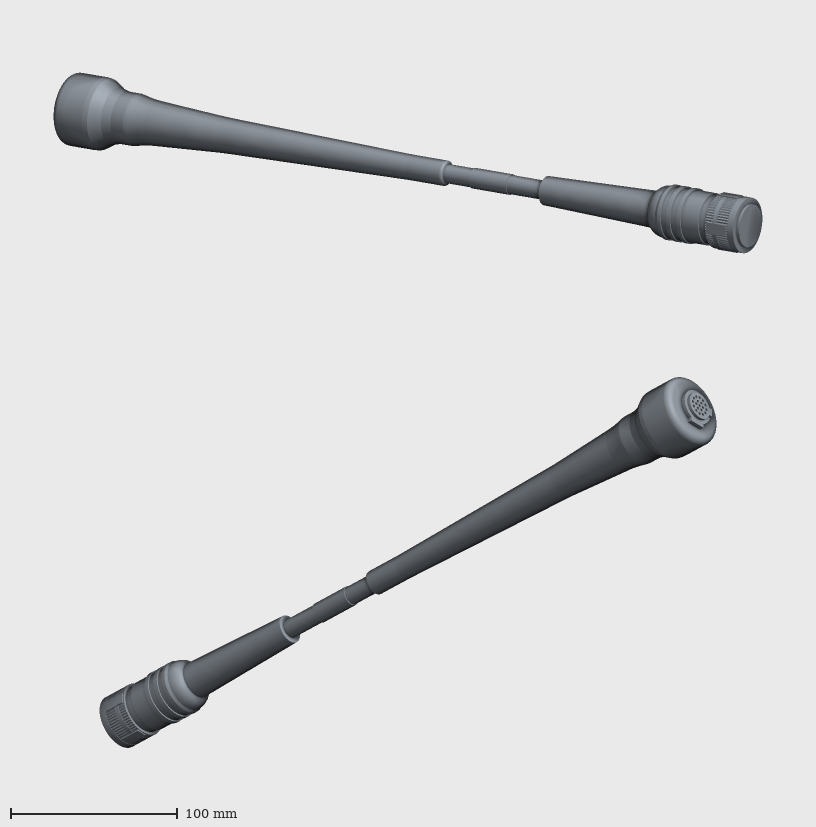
import cadquery as cq
import math


insert_face_x = 0
insert_diameter = 17.5
key_width = 5.5
key_reach = 10.5
shell_face_x = 2.0
shell_diameter = 22.0
tab_width = 10.5
tab_reach = 12.5
contact_hole_diameter = 2.0
contact_hole_depth = 3.0
contact_ring_spacing = 3.0
contact_ring_count = 2
contacts_per_ring_step = 6

head_face_x = 5.0
head_diameter = 44.5
head_front_round = 4.5
head_straight_end_x = 26.5
head_shoulder_x = 30.0
head_shoulder_diameter = 43.5
head_slope_end_x = 37.0
head_slope_end_diameter = 35.0
neck_start_x = 43.0
neck_diameter = 32.0
joint_x = 49.0

grip_neck_end_x = 51.5
grip_flare_start_x = 53.0
grip_flare_start_diameter = 31.5
grip_flare_middle_diameter = 29.0
grip_flare_end_x = 64.7
grip_flare_end_diameter = 27.5
grip_bend_x = 114.0
grip_bend_diameter = 21.7
cuff_start_x = 245.5
cuff_end_x = 270.5
cuff_diameter = 15.5
cuff_end_round = 2.0

cable_diameter = 11.5
sleeve_start_x = 289.0
sleeve_end_x = 315.0
sleeve_diameter = 12.5

relief_start_x = 339.5
relief_start_diameter = 18.0
relief_end_x = 417.5
relief_end_diameter = 22.5
dome_middle_x = 420.5
dome_middle_diameter = 29.0
barrel_start_x = 425.5
barrel_diameter = 32.0
barrel_end_x = 456.0
rib_diameter = 34.0
ramp_rib_top_x = 427.5
ramp_rib_end_x = 430.0
rib_start_x = 434.0
rib_width = 3.0
rib_pitch = 7.2
plain_rib_count = 2

plug_neck_diameter = 30.0
knurl_start_x = 461.5
knurl_end_x = 477.0
knurl_diameter = 34.0
knurl_root_diameter = 33.0
knurl_tooth_count = 64
plain_band_start_x = 466.2
plain_band_end_x = 469.0
pad_start_x = 462.5
pad_length = 13.5
pad_width = 7.0
pad_rise = 0.25
pad_count = 4
flange_end_x = 481.0
plug_end_x = 483
plug_end_diameter = 26.0


def rod(start_x, end_x, diameter):
    """Round rod on the X axis."""
    return cq.Workplane("YZ", origin=(start_x, 0, 0)).circle(diameter / 2).extrude(end_x - start_x)


def spin(outline):
    """Closed half outline in the XZ plane, turned about the X axis."""
    return outline.close().revolve(360, (0, 0, 0), (1, 0, 0))


def start_outline(x, diameter):
    """Half outline that starts on the axis and rises to the given diameter."""
    return cq.Workplane("XZ").moveTo(x, 0).lineTo(x, diameter / 2)


def rounding_inset(radius):
    """Distance from each side of a square corner to the middle of its rounding arc."""
    return radius * (1 - math.sqrt(0.5))


def make_head_collar():
    inset = rounding_inset(head_front_round)
    outline = (
        start_outline(head_face_x, head_diameter - 2 * head_front_round)
        .threePointArc(
            (head_face_x + inset, head_diameter / 2 - inset),
            (head_face_x + head_front_round, head_diameter / 2),
        )
        .lineTo(head_straight_end_x, head_diameter / 2)
        .tangentArcPoint((head_shoulder_x, head_shoulder_diameter / 2), relative=False)
        .lineTo(head_slope_end_x, head_slope_end_diameter / 2)
        .lineTo(neck_start_x, neck_diameter / 2)
        .lineTo(joint_x, neck_diameter / 2)
        .lineTo(joint_x, 0)
    )
    return spin(outline)


def make_shell():
    """Ring around the insert, with a tab on its -Z side."""
    depth = head_face_x - shell_face_x
    tab = cq.Workplane("XY").box(depth, tab_width, tab_reach, centered=(False, True, False))
    tab = tab.translate((shell_face_x, 0, -tab_reach))
    return rod(shell_face_x, head_face_x, shell_diameter).union(tab)


def make_insert():
    """Contact insert with a key on its -Y side."""
    depth = head_face_x - insert_face_x
    key = cq.Workplane("XY").box(depth, key_reach, key_width, centered=(False, False, True))
    key = key.translate((insert_face_x, -key_reach, 0))
    return rod(insert_face_x, head_face_x, insert_diameter).union(key)


def make_contact_holes():
    """One central hole inside rings of holes."""
    points = [(0, 0)]
    for ring in range(1, contact_ring_count + 1):
        count = contacts_per_ring_step * ring
        for i in range(count):
            angle = 2 * math.pi * i / count
            radius = contact_ring_spacing * ring
            points.append((radius * math.cos(angle), radius * math.sin(angle)))
    face = cq.Workplane("YZ", origin=(insert_face_x, 0, 0)).pushPoints(points)
    return face.circle(contact_hole_diameter / 2).extrude(contact_hole_depth)


def make_socket_head():
    head = make_head_collar().union(make_shell()).union(make_insert())
    return head.cut(make_contact_holes())


def make_grip():
    inset = rounding_inset(cuff_end_round)
    outline = (
        start_outline(joint_x, neck_diameter)
        .lineTo(grip_neck_end_x, neck_diameter / 2)
        .lineTo(grip_flare_start_x, grip_flare_start_diameter / 2)
        .threePointArc(
            ((grip_flare_start_x + grip_flare_end_x) / 2, grip_flare_middle_diameter / 2),
            (grip_flare_end_x, grip_flare_end_diameter / 2),
        )
        .lineTo(grip_bend_x, grip_bend_diameter / 2)
        .lineTo(cuff_start_x, cuff_diameter / 2)
        .lineTo(cuff_end_x - cuff_end_round, cuff_diameter / 2)
        .threePointArc(
            (cuff_end_x - inset, cuff_diameter / 2 - inset),
            (cuff_end_x, cuff_diameter / 2 - cuff_end_round),
        )
        .lineTo(cuff_end_x, 0)
    )
    return spin(outline)


def make_cable():
    sleeve = rod(sleeve_start_x, sleeve_end_x, sleeve_diameter)
    return rod(cuff_end_x, relief_start_x, cable_diameter).union(sleeve)


def make_barrel():
    """Strain relief, dome, ribbed barrel and plug neck; the first rib has a sloping front."""
    outline = (
        start_outline(relief_start_x, relief_start_diameter)
        .lineTo(relief_end_x, relief_end_diameter / 2)
        .threePointArc(
            (dome_middle_x, dome_middle_diameter / 2),
            (barrel_start_x, barrel_diameter / 2),
        )
        .lineTo(ramp_rib_top_x, rib_diameter / 2)
        .lineTo(ramp_rib_end_x, rib_diameter / 2)
        .lineTo(ramp_rib_end_x, barrel_diameter / 2)
        .lineTo(barrel_end_x, barrel_diameter / 2)
        .lineTo(barrel_end_x, plug_neck_diameter / 2)
        .lineTo(knurl_start_x, plug_neck_diameter / 2)
        .lineTo(knurl_start_x, 0)
    )
    barrel = spin(outline)
    for i in range(plain_rib_count):
        start_x = rib_start_x + i * rib_pitch
        barrel = barrel.union(rod(start_x, start_x + rib_width, rib_diameter))
    return barrel


def make_knurl_band(start_x, end_x):
    """Ring of pointed teeth running along X."""
    points = []
    for i in range(2 * knurl_tooth_count):
        angle = math.pi * i / knurl_tooth_count
        radius = (knurl_root_diameter if i % 2 else knurl_diameter) / 2
        points.append((radius * math.cos(angle), radius * math.sin(angle)))
    profile = cq.Workplane("YZ", origin=(start_x, 0, 0)).polyline(points).close()
    return profile.extrude(end_x - start_x)


def make_knurled_ring():
    """Two knurled bands with a plain band between them and flat pads across all three."""
    ring = (
        make_knurl_band(knurl_start_x, plain_band_start_x)
        .union(rod(plain_band_start_x, plain_band_end_x, knurl_diameter))
        .union(make_knurl_band(plain_band_end_x, knurl_end_x))
    )
    pad_height = knurl_diameter / 2 + pad_rise
    pad = cq.Workplane("XY").box(pad_length, pad_width, pad_height, centered=(False, True, False))
    pad = pad.translate((pad_start_x, 0, 0))
    for i in range(pad_count):
        ring = ring.union(pad.rotate((0, 0, 0), (1, 0, 0), i * 360 / pad_count))
    return ring


def make_plug_end():
    flange = rod(knurl_end_x, flange_end_x, knurl_diameter)
    return flange.union(rod(flange_end_x, plug_end_x, plug_end_diameter))


def make_cord():
    cord = make_grip().union(make_cable()).union(make_barrel())
    return cord.union(make_knurled_ring()).union(make_plug_end())


socket_head = make_socket_head()
cord = make_cord()

result = cq.Compound.makeCompound([*socket_head.solids().vals(), *cord.solids().vals()])